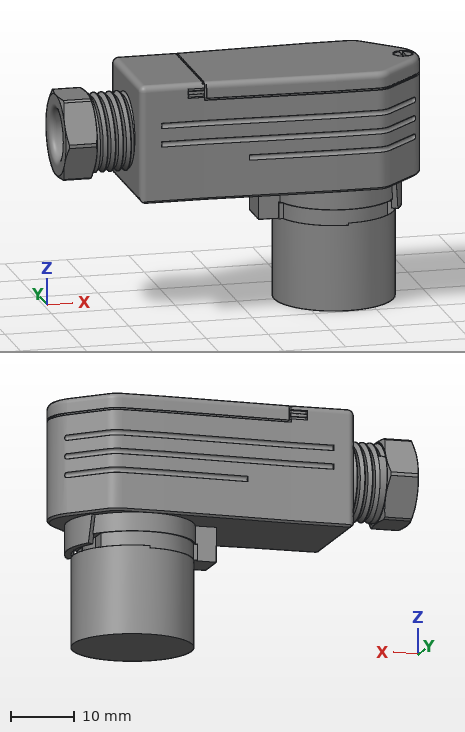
import cadquery as cq
import math


far = 20.0

root_overlap = 1.0

housing_height = 19.0
housing_back_x = -33.55
housing_nose_x = 13.71
nose_angle = math.radians(45)
taper_start_x = -23.15
taper_end_x = -2.1
back_half_width = 9.45
wide_half_width = 10.25
nose_radius = 6.0
shoulder_radius = 3.0
edge_radius = 1.0
bottom_chamfer = 0.35

nose_center_x = housing_nose_x - nose_radius
nose_apex_x = nose_center_x + nose_radius / math.sin(nose_angle)
shoulder_corner_x = nose_apex_x - wide_half_width
shoulder_start_x = shoulder_corner_x - shoulder_radius * math.tan(nose_angle / 2)
flank_drop = shoulder_radius * (1 - math.cos(nose_angle))
flank_offset = nose_radius * math.sin(nose_angle)

grip_grooves = [(12.5, -30.1), (9.5, -30.1), (6.5, -16.0)]
grip_groove_radius = 0.43

joint_width = 0.3
joint_depth = 0.25
top_joint_x = -23.4
lid_joint_z = 16.2
window_length = 2.65
window_bottom_z = 16.7
window_height = 1.5
window_depth = 0.7
window_bar_height = 0.5
window_bar_depth = 0.4

screw_x = 11.2
screw_hole_diameter = 3.2
screw_diameter = 2.8
screw_hole_depth = 0.8
screw_head_drop = 0.1
screw_slot_width = 0.5
screw_slot_depth = 0.5

gland_z = housing_height / 2
nut_across_flats = 13.0
nut_corner_diameter = 14.7
nut_chamfer_length = 0.35
nut_start_x = -44.85
nut_length = 5.1
nut_end_x = nut_start_x + nut_length
gland_bore_diameter = 7.8
gland_bore_depth = 3.0
gland_mouth_radius = 1.0
thread_diameter = 12.6
thread_pitch = 1.25
thread_depth = 0.55
thread_land_width = 0.1
thread_start_angle = 120.0

plug_length = 19.5
plug_diameter = 19.3
band_diameter = 19.2
core_diameter = 15.8
collar_diameter = 19.7
collar_length = 3.0
band_end_back = 5.6
band_end_front = 5.25
notch_x = 7.1

key_width = 6.0
key_back_x = -12.85
key_foot_width = 6.8
key_foot_back_x = -9.66

hook_outer_radius = 10.65
hook_inner_radius = 9.6
hook_length = 4.55
hook_root_half_angle = 37.0
hook_tip_half_angle = 33.0


def box_between(x0, x1, y0, y1, z0, z1):
    return cq.Workplane("XY").box(x1 - x0, y1 - y0, z1 - z0, centered=False).translate((x0, y0, z0))


def cylinder_z(diameter, z0, z1):
    return cq.Workplane("XY").workplane(offset=z0).circle(diameter / 2).extrude(z1 - z0)


def make_prism(inset=0.0, back_x=housing_back_x):
    """Housing outline, pulled in by `inset`, over the full height with round vertical nose edges."""
    wide = wide_half_width - inset
    back = back_half_width - inset
    apex = nose_apex_x - inset / math.sin(nose_angle)
    corner = apex - wide
    half = [
        (back_x, back),
        (taper_start_x, back),
        (taper_end_x, wide),
        (corner, wide),
    ]
    outline = half + [(apex, 0)] + [(x, -y) for x, y in reversed(half)]
    prism = cq.Workplane("XY").polyline(outline).close().extrude(housing_height)
    mid_height = housing_height / 2
    prism = prism.edges(cq.NearestToPointSelector((apex, 0, mid_height))).fillet(nose_radius - inset)
    for side in (-1, 1):
        corner_edge = cq.NearestToPointSelector((corner, side * wide, mid_height))
        prism = prism.edges(corner_edge).fillet(shoulder_radius - inset)
    return prism


def make_housing():
    housing = make_prism()
    housing = housing.faces("<X").edges("|Z or <Z").fillet(edge_radius)
    housing = housing.faces(">Z").edges().fillet(edge_radius)
    chamfered = make_prism(back_x=housing_back_x - edge_radius).faces("<Z").chamfer(bottom_chamfer)
    return housing.intersect(chamfered)


def make_grip_groove(z, start_x, side):
    """Half-round groove that follows the side, the shoulder and the flank of the housing."""
    shoulder_mid = math.radians(90) - nose_angle / 2
    shoulder_center_y = wide_half_width - shoulder_radius
    arc_mid_x = shoulder_start_x + shoulder_radius * math.cos(shoulder_mid)
    arc_mid_y = shoulder_center_y + shoulder_radius * math.sin(shoulder_mid)
    arc_end_x = shoulder_start_x + shoulder_radius * math.sin(nose_angle)
    arc_end_y = wide_half_width - flank_drop
    flank_end_x = nose_center_x + flank_offset

    path = cq.Workplane("XY").workplane(offset=z).moveTo(housing_back_x, side * back_half_width)
    path = path.lineTo(taper_start_x, side * back_half_width)
    path = path.lineTo(taper_end_x, side * wide_half_width)
    path = path.lineTo(shoulder_start_x, side * wide_half_width)
    path = path.threePointArc((arc_mid_x, side * arc_mid_y), (arc_end_x, side * arc_end_y))
    path = path.lineTo(flank_end_x, side * flank_offset)
    start = cq.Workplane("YZ", origin=(housing_back_x, side * back_half_width, z))
    groove = start.circle(grip_groove_radius).sweep(path, transition="right")
    end_ball = cq.Workplane("XY").sphere(grip_groove_radius)
    groove = groove.union(end_ball.translate((flank_end_x, side * flank_offset, z)))
    return groove.intersect(box_between(start_x, far, -far, far, 0, housing_height))


def cut_grip_grooves(housing):
    for z, start_x in grip_grooves:
        for side in (-1, 1):
            housing = housing.cut(make_grip_groove(z, start_x, side))
    return housing


def cut_lid_joint(housing):
    """Shallow joint line around the lid, down its back corners and across the top."""
    lid_front_x = taper_start_x + joint_width
    skin = make_prism().cut(make_prism(joint_depth))
    around = box_between(lid_front_x, far, -far, far, lid_joint_z, lid_joint_z + joint_width)
    down_side = box_between(taper_start_x, lid_front_x, -far, far, lid_joint_z, housing_height)
    across_top = box_between(
        top_joint_x, top_joint_x + joint_width, -far, far, housing_height - joint_depth, housing_height
    )
    return housing.cut(skin.intersect(around.union(down_side))).cut(across_top)


def cut_latch_windows(housing):
    """Small side windows behind the lid, each with a bar inside."""
    start_x = taper_start_x - window_length
    bar_z = window_bottom_z + (window_height - window_bar_height) / 2
    for side in (-1, 1):
        outer = side * wide_half_width
        floor = side * (back_half_width - window_depth)
        bar_face = side * (back_half_width - window_depth + window_bar_depth)
        y0, y1 = sorted((floor, outer))
        window = box_between(
            start_x, taper_start_x, y0, y1, window_bottom_z, window_bottom_z + window_height
        )
        y0, y1 = sorted((floor, bar_face))
        bar = box_between(start_x, taper_start_x, y0, y1, bar_z, bar_z + window_bar_height)
        housing = housing.cut(window.cut(bar))
    return housing


def cut_screw(housing):
    """Slotted screw head standing in its hole in the lid."""
    floor_z = housing_height - screw_hole_depth
    head_z = housing_height - screw_head_drop
    hole = cylinder_z(screw_hole_diameter, floor_z, housing_height)
    head = cylinder_z(screw_diameter, floor_z, head_z)
    slot = box_between(
        -screw_slot_width / 2, screw_slot_width / 2, -far, far, head_z - screw_slot_depth, head_z
    )
    return housing.cut(hole.cut(head.cut(slot)).translate((screw_x, 0, 0)))


def make_thread():
    """Gland shank along +Z from the nut face, with a right-hand V groove that starts at the nut."""
    length = housing_back_x - nut_end_x
    radius = thread_diameter / 2
    half_groove = (thread_pitch - thread_land_width) / 2
    overshoot = 0.2
    root_radius = radius - thread_depth
    outer_half = half_groove * (thread_depth + overshoot) / thread_depth
    helix = cq.Wire.makeHelix(thread_pitch, length + root_overlap + thread_pitch, radius)
    profile = cq.Workplane("XZ").polyline(
        [(root_radius, 0), (radius + overshoot, outer_half), (radius + overshoot, -outer_half)]
    ).close()
    groove = profile.sweep(cq.Workplane(obj=helix), isFrenet=True).translate((0, 0, half_groove))
    shank = cq.Workplane("XY").circle(radius).extrude(length + root_overlap)
    return shank.cut(groove)


def make_nut():
    """Hexagon nut along +Z with chamfered corners."""
    hexagon = cq.Workplane("XY").polygon(6, nut_across_flats / math.cos(math.radians(30)))
    hexagon = hexagon.extrude(nut_length).rotate((0, 0, 0), (0, 0, 1), 90)
    corner = nut_corner_diameter / 2
    flat = nut_across_flats / 2
    envelope = cq.Workplane("XZ").polyline([
        (0, 0),
        (flat, 0),
        (corner, nut_chamfer_length),
        (corner, nut_length - nut_chamfer_length),
        (flat, nut_length),
        (0, nut_length),
    ]).close().revolve(360, (0, 0), (0, 1))
    return hexagon.intersect(envelope)


def make_gland():
    nut = make_nut()
    bore = cylinder_z(gland_bore_diameter, 0, gland_bore_depth)
    nut = nut.cut(bore)
    nut = nut.faces("<Z").edges("%CIRCLE").edges(cq.selectors.RadiusNthSelector(0)).fillet(gland_mouth_radius)
    thread = make_thread().rotate((0, 0, 0), (0, 0, 1), thread_start_angle)
    gland = nut.union(thread.translate((0, 0, nut_length)))
    return gland.rotate((0, 0, 0), (0, 1, 0), 90).translate((nut_start_x, 0, gland_z))


def make_plug():
    body = cylinder_z(plug_diameter, -plug_length, -band_end_back)
    body_front = cylinder_z(plug_diameter, -band_end_back, -band_end_front)
    body_front = body_front.intersect(box_between(0, far, -far, far, -far, 0))
    band = cylinder_z(band_diameter, -band_end_back, -collar_length)
    notch = box_between(notch_x, far, -far, far, -band_end_front, -collar_length)
    core = cylinder_z(core_diameter, -band_end_back, root_overlap)
    collar = cylinder_z(collar_diameter, -collar_length, root_overlap)
    return body.union(body_front).union(band.cut(notch)).union(core).union(collar)


def make_key():
    key = box_between(key_back_x, 0, -key_width / 2, key_width / 2, -band_end_back, root_overlap)
    foot = box_between(
        key_foot_back_x, 0, -key_foot_width / 2, key_foot_width / 2, -band_end_back, -collar_length
    )
    return key.union(foot)


def make_hook():
    """Curved hook hanging from the housing: a ring sector that narrows towards its tip."""
    ring = cylinder_z(2 * hook_outer_radius, -hook_length, 0)
    ring = ring.cut(cylinder_z(2 * hook_inner_radius, -hook_length, 0))

    def sector_corners(half_angle):
        reach_x = 2 * hook_outer_radius * math.cos(math.radians(half_angle))
        reach_y = 2 * hook_outer_radius * math.sin(math.radians(half_angle))
        return [(0, 0), (reach_x, -reach_y), (reach_x, reach_y)]

    sector = cq.Workplane("XY").polyline(sector_corners(hook_root_half_angle)).close()
    sector = sector.workplane(offset=-hook_length).polyline(sector_corners(hook_tip_half_angle)).close()
    return ring.intersect(sector.loft(ruled=True))


housing = make_housing()
housing = cut_grip_grooves(housing)
housing = cut_lid_joint(housing)
housing = cut_latch_windows(housing)
housing = cut_screw(housing)
result = housing.union(make_gland()).union(make_plug()).union(make_key()).union(make_hook())